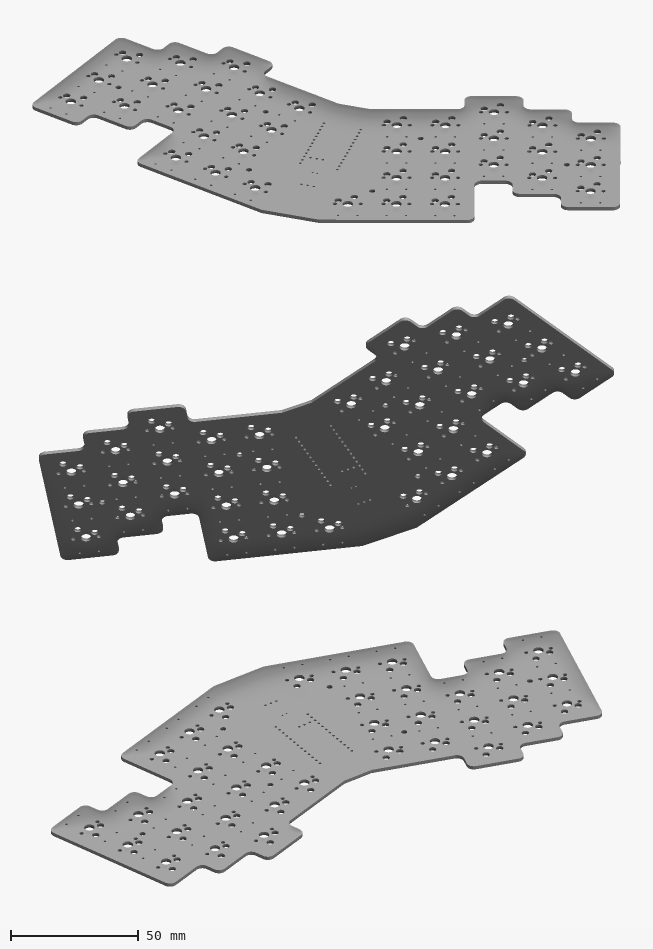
import cadquery as cq
import math


plate_length = 241
plate_height = 108.7
plate_thickness = 1.52
corner_radius = 3.0
top_flat_y = 28.0
bottom_flat_y = -plate_height / 2

tilt = math.radians(17.5)
five_pitches = 95.0
pitch = five_pitches / 5
stagger = pitch / 2
edge_margin = 11.5

columns = [(0, 3), (1, 3), (2, 3), (1, 4), (1, 4), (-5, 1)]

header_length = 30.4
header_pins = 13
grid = header_length / (header_pins - 1)
switch_centre_diameter = 4.0
switch_contact_diameter = 3.0
switch_post_diameter = 1.7
mount_diameter = 2.39
diode_diameter = 1.0
header_diameter = 1.08
power_switch_diameter = 1.0
battery_diameter = 0.75

post_reach = 2 * grid
diode_reach = 1.5 * grid
diode_drop = 8.5
header_spacing = 6 * grid
header_top_y = 12.8
extra_pin_row = 10
extra_pins = 3
power_switch_y = -32.0
power_switch_pins = 3
battery_y = -22.7
battery_spacing = 2.0
mounts = [(92.0, 13.0), (31.8, 13.7), (25.3, -28.2)]


def column_top(index):
    return columns[index][0] * stagger


def column_bottom(index):
    return column_top(index) - (columns[index][1] - 1) * pitch


def turn(u, v):
    """Turn block axes into plate axes, about the block origin."""
    x = u * math.cos(tilt) + v * math.sin(tilt)
    y = -u * math.sin(tilt) + v * math.cos(tilt)
    return x, y


corner_inset = edge_margin - corner_radius
left_arc_x = turn(-corner_inset, column_bottom(0) - corner_inset)[0]
top_arc_y = turn(2 * pitch - corner_inset, column_top(2) + corner_inset)[1]
block_x = corner_radius - plate_length / 2 - left_arc_x
block_y = plate_height / 2 - corner_radius - top_arc_y


def block_to_plate(u, v):
    """Convert left-block coordinates to plate X, Y."""
    x, y = turn(u, v)
    return block_x + x, block_y + y


def slope_at_level(v, y):
    """Point where the block line of constant v reaches plate height y."""
    u = (block_y + v * math.cos(tilt) - y) / math.sin(tilt)
    return block_to_plate(u, v)


def mirrored(points):
    return [(-x, y) for x, y in points]


def both_sides(points):
    return points + mirrored(points)


def left_outline():
    """Left half of the plate outline, from the top flat round to the bottom flat."""
    top = [column_top(i) + edge_margin for i in range(4)]
    bottom = [column_bottom(i) - edge_margin for i in range(4)]
    left = [i * pitch - edge_margin for i in range(4)]
    right = [i * pitch + edge_margin for i in range(3)]
    corners = [
        (right[2], top[3]),
        (right[2], top[2]),
        (left[2], top[2]),
        (left[2], top[1]),
        (left[1], top[1]),
        (left[1], top[0]),
        (left[0], top[0]),
        (left[0], bottom[0]),
        (right[0], bottom[0]),
        (right[0], bottom[1]),
        (right[1], bottom[1]),
        (right[1], bottom[2]),
        (left[3], bottom[2]),
        (left[3], bottom[3]),
    ]
    start = slope_at_level(top[3], top_flat_y)
    end = slope_at_level(bottom[3], bottom_flat_y)
    return [start] + [block_to_plate(u, v) for u, v in corners] + [end]


def make_plate():
    half = left_outline()
    outline = half + mirrored(half[::-1])
    plate = cq.Workplane("XY").polyline(outline).close().extrude(plate_thickness)
    middle_half_width = abs(half[-1][0]) + corner_radius
    corners = plate.edges("|Z").filter(lambda edge: abs(edge.Center().x) > middle_half_width)
    return corners.fillet(corner_radius)


def key_centres():
    centres = []
    for index, (_, count) in enumerate(columns):
        for row in range(count):
            centres.append((index * pitch, column_top(index) - row * pitch))
    return centres


def at_left_keys(offset_u, offset_v):
    """The same footprint offset at every key of the left block."""
    return [block_to_plate(u + offset_u, v + offset_v) for u, v in key_centres()]


def at_all_keys(offset_u, offset_v):
    """The same footprint offset at every key; footprints are turned, not mirrored."""
    return at_left_keys(offset_u, offset_v) + mirrored(at_left_keys(-offset_u, offset_v))


def pin_row(count, spacing, y):
    """Pins along X, centred on the middle of the plate."""
    return [((i - (count - 1) / 2) * spacing, y) for i in range(count)]


def drills(points, diameter):
    """Cylinders that pass right through the plate."""
    tools = cq.Workplane("XY").pushPoints(points).circle(diameter / 2).extrude(plate_thickness, combine=False)
    return tools.vals()


holes = []

holes += drills(at_all_keys(0, 0), switch_centre_diameter)
holes += drills(at_all_keys(-1.5 * grid, grid) + at_all_keys(grid, 2 * grid), switch_contact_diameter)
holes += drills(at_all_keys(-post_reach, 0) + at_all_keys(post_reach, 0), switch_post_diameter)

holes += drills(
    at_all_keys(-diode_reach, -diode_drop) + at_all_keys(diode_reach, -diode_drop),
    diode_diameter,
)

header = [(-header_spacing / 2, header_top_y - i * grid) for i in range(header_pins)]
extra_y = header_top_y - extra_pin_row * grid
extra = [(-header_spacing / 2 + (i + 1) * grid, extra_y) for i in range(extra_pins)]
holes += drills(both_sides(header) + extra, header_diameter)

power_switch = pin_row(power_switch_pins, grid, power_switch_y)
battery = pin_row(2, battery_spacing, battery_y)
holes += drills(power_switch, power_switch_diameter)
holes += drills(battery, battery_diameter)

holes += drills(both_sides(mounts), mount_diameter)

result = make_plate().cut(cq.Workplane(cq.Compound.makeCompound(holes)), clean=False)